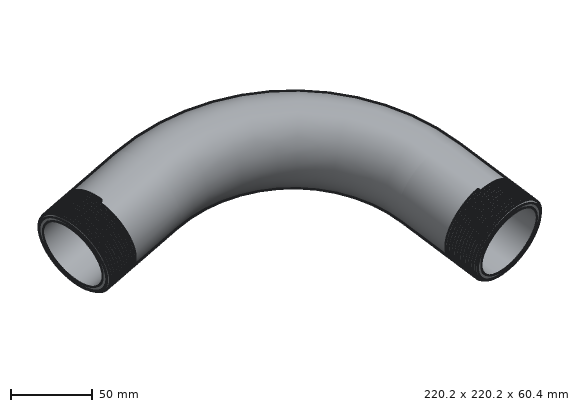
import cadquery as cq
import math

overall_length = 220.2
pipe_radius = 30.2
bore_radius = 25.0
leg_length = 65.4
bend_radius = overall_length - leg_length - pipe_radius

thread_pitch = 2.31
thread_length = 26.2
thread_angle = 55.0
thread_depth = 1.8
thread_turns = math.ceil(thread_length / thread_pitch)
cutter_overlap = 0.2
end_chamfer_width = 2.0
end_chamfer_length = 1.0
seam_angle = 200.0


def make_thread_cutter():
    """Helical V cutter along Z that ends on the +X side at the thread length."""
    helix_height = thread_turns * thread_pitch
    root_radius = pipe_radius - thread_depth
    outer_radius = pipe_radius + cutter_overlap
    half_width = (outer_radius - root_radius) * math.tan(math.radians(thread_angle / 2))
    helix = cq.Wire.makeHelix(thread_pitch, helix_height, pipe_radius)
    profile = cq.Workplane("XZ").polyline([
        (root_radius, 0),
        (outer_radius, half_width),
        (outer_radius, -half_width),
    ]).close()
    cutter = profile.sweep(cq.Workplane(obj=helix), isFrenet=True)
    return cutter.translate((0, 0, thread_length - half_width - helix_height))


def make_leg():
    """Straight pipe along Z with its chamfered, threaded end face at Z = 0."""
    profile = cq.Workplane("XZ").polyline([
        (bore_radius, 0),
        (pipe_radius - end_chamfer_width, 0),
        (pipe_radius, end_chamfer_length),
        (pipe_radius, leg_length),
        (bore_radius, leg_length),
    ]).close()
    leg = profile.revolve(360, (0, 0, 0), (0, 1, 0)).rotate((0, 0, 0), (0, 0, 1), seam_angle)
    return leg.cut(make_thread_cutter())


def make_bend():
    """Quarter-turn pipe around the origin, from -X to +Y."""
    ring = cq.Workplane("XZ").center(-bend_radius, 0).circle(pipe_radius).circle(bore_radius)
    return ring.revolve(90, (bend_radius, 2.2, 0), (bend_radius, 0, 0))


def place_leg(leg, end_center, inward):
    """Put a leg at its end face center, keeping its local X side upward."""
    plane = cq.Plane(origin=end_center, xDir=(0, 0, 1), normal=inward)
    return cq.Workplane(obj=leg.val().moved(cq.Location(plane)))


threaded_leg = make_leg()
front_leg = place_leg(threaded_leg, (-bend_radius, -leg_length, 0), (0, 1, 0))
side_leg = place_leg(threaded_leg, (leg_length, bend_radius, 0), (-1, 0, 0))

result = make_bend().union(front_leg).union(side_leg)